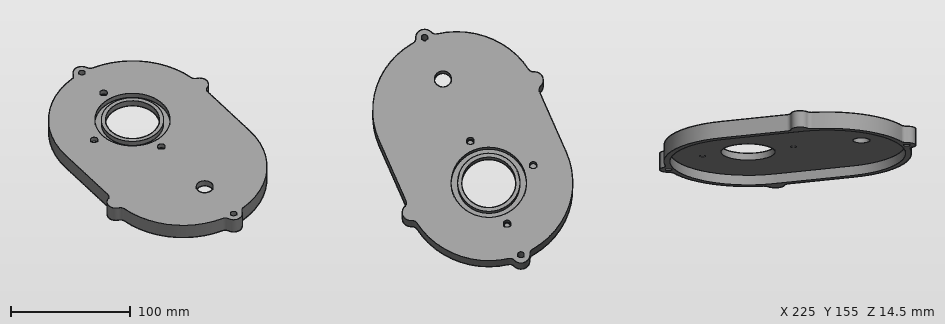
import cadquery as cq

length = 225.0
width = 155.0
thickness = 14.5
ear_radius = 7.5
end_radius = width / 2 - ear_radius
ear_fillet = 5.0
ear_x = length / 2 - ear_radius
end_x = ear_x - end_radius
ear_hole_diameter = 5.5

top_wall = 6.0
side_wall = 5.0

bore_diameter = 45.0
groove_inner_diameter = 52.0
groove_outer_diameter = 62.8
groove_depth = 4.7
screw_circle_radius = 40.0
screw_hole_diameter = 6.3
screw_hole_depth = 4.5
pilot_diameter = 5.2
pilot_depth = 5.5

shaft_x = 65.0
shaft_hole_diameter = 14.2


def cylinder(x, y, diameter, bottom, height):
    """Upright cylinder standing on the given bottom height."""
    return cq.Workplane("XY", origin=(x, y, bottom)).circle(diameter / 2).extrude(height)


def stadium(radius, height):
    """Block with round ends about the two end centres."""
    return cq.Workplane("XY").slot2D(2 * (end_x + radius), 2 * radius).extrude(height)


def make_plate():
    """Stadium plate with ears blended into its outline."""
    body = stadium(end_radius, thickness)
    ear_centers = [
        (-ear_x, 0),
        (ear_x, 0),
        (-end_x, end_radius),
        (end_x, -end_radius),
    ]
    reach = 1.1 * ear_radius
    for x, y in ear_centers:
        body = body.union(cylinder(x, y, 2 * ear_radius, 0, thickness))
        corners = cq.selectors.BoxSelector(
            (x - reach, y - reach, 0),
            (x + reach, y + reach, thickness),
        )
        body = body.edges("|Z").edges(corners).fillet(ear_fillet)
    return body


def cut_ear_holes(body):
    """Through holes in the left and right ears."""
    for x in (-ear_x, ear_x):
        body = body.cut(cylinder(x, 0, ear_hole_diameter, 0, thickness))
    return body


def cut_bearing_seat(body):
    """Bore and the ring groove around it."""
    floor = thickness - groove_depth
    groove = cylinder(-end_x, 0, groove_outer_diameter, floor, groove_depth)
    groove = groove.cut(cylinder(-end_x, 0, groove_inner_diameter, floor, groove_depth))
    body = body.cut(groove)
    body = body.cut(cylinder(-end_x, 0, bore_diameter, 0, thickness))
    return body


def cut_screw_holes(body):
    """Three blind screw holes; the two on the long axis end in a narrower pilot."""
    for across, along in ((-1, 0), (1, 0), (0, -1)):
        x = -end_x + across * screw_circle_radius
        y = along * screw_circle_radius
        body = body.cut(cylinder(x, y, screw_hole_diameter, thickness - screw_hole_depth, screw_hole_depth))
        if along == 0:
            body = body.cut(cylinder(x, y, pilot_diameter, thickness - pilot_depth, pilot_depth))
    return body


plate = make_plate()
plate = plate.cut(stadium(end_radius - side_wall, thickness - top_wall))
plate = cut_ear_holes(plate)
plate = cut_bearing_seat(plate)
plate = cut_screw_holes(plate)
result = plate.cut(cylinder(shaft_x, 0, shaft_hole_diameter, 0, thickness))